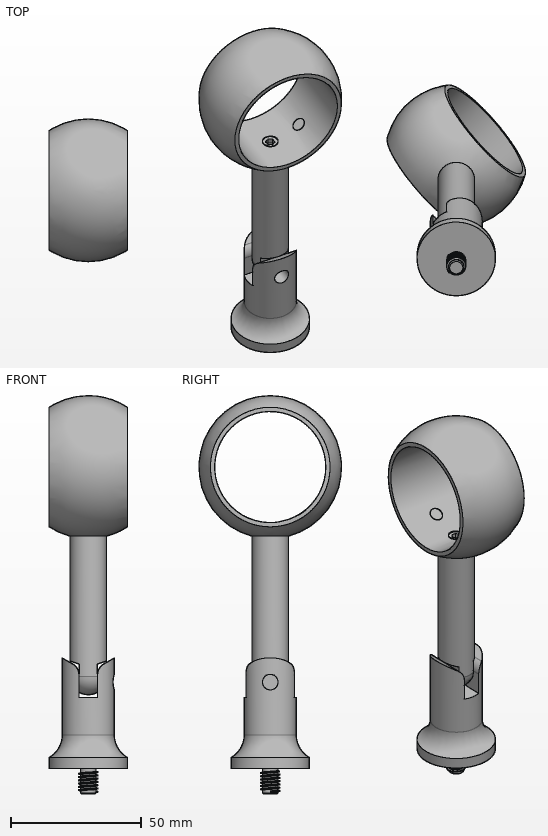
import cadquery as cq
import math

total_height = 152.6
ball_radius = 54.8 / 2
ring_width = 30.0
bore_radius = 42.4 / 2
ball_center_z = total_height - ball_radius
bore_bottom_z = ball_center_z - bore_radius

screw_seat_diameter = 6.0
screw_seat_depth = 0.23
socket_corner_diameter = 3.5
socket_depth = 2.3
plug_diameter = 5.0
plug_seat_depth = 0.2
plug_angle = 35

shaft_radius = 14.0 / 2
tongue_end_center_z = 45.0
tongue_width = 7.0
shoulder_inner_z = 49.7
shoulder_outer_z = 51.0

flange_radius = ring_width / 2
flange_bottom_z = 9.8
flange_top_z = 14.0
neck_top_z = 22.7
collar_radius = 20.0 / 2
collar_top_z = 52.2
slot_bottom_z = 37.1
slot_mouth_slope = 0.58
slot_mouth_fillet = 4.9
hinge_hole_diameter = 6.0
hinge_hole_z = 42.9

thread_radius = 7.3 / 2
root_radius = 6.0 / 2
stud_chamfer = 0.5
thread_pitch = 1.25
thread_start_z = 0.9
thread_end_z = 8.7
thread_root_width = 0.8
thread_crest_width = 0.3
thread_overlap = 0.2

half_slot = tongue_width / 2


def make_base():
    """Flange, concave flare and collar, revolved as one solid."""
    flare_width = flange_radius - collar_radius
    flare_height = neck_top_z - flange_top_z
    flare_radius = (flare_width**2 + flare_height**2) / (2 * flare_width)
    half_sweep = math.asin(flare_height / flare_radius) / 2
    flare_middle = (
        collar_radius + flare_radius * (1 - math.cos(half_sweep)),
        neck_top_z - flare_radius * math.sin(half_sweep),
    )
    body = (
        cq.Workplane("XZ")
        .moveTo(0, flange_bottom_z)
        .lineTo(flange_radius, flange_bottom_z)
        .lineTo(flange_radius, flange_top_z)
        .threePointArc(flare_middle, (collar_radius, neck_top_z))
        .lineTo(collar_radius, collar_top_z)
        .lineTo(0, collar_top_z)
        .close()
        .revolve(360, (0, 0, 0), (0, 1, 0))
    )
    return body.cut(make_slot()).cut(make_hinge_hole())


def make_slot():
    """Slot along Y whose mouth opens out in a V with rounded lower corners."""
    mouth_drop = (collar_radius - half_slot) * slot_mouth_slope
    corner_z = collar_top_z - mouth_drop
    slot = (
        cq.Workplane("XZ")
        .polyline([
            (-half_slot, slot_bottom_z),
            (half_slot, slot_bottom_z),
            (half_slot, corner_z),
            (collar_radius, collar_top_z),
            (-collar_radius, collar_top_z),
            (-half_slot, corner_z),
        ])
        .close()
        .extrude(collar_radius, both=True)
    )
    corner_margin = 0.2
    corner_edges = cq.selectors.BoxSelector(
        (-collar_radius, -collar_radius, corner_z - corner_margin),
        (collar_radius, collar_radius, corner_z + corner_margin),
    )
    return slot.edges("|Y").edges(corner_edges).fillet(slot_mouth_fillet)


def make_hinge_hole():
    """Screw hole through the +X prong of the collar."""
    return (
        cq.Workplane("YZ", origin=(half_slot, 0, hinge_hole_z))
        .circle(hinge_hole_diameter / 2)
        .extrude(collar_radius)
    )


def make_shaft():
    """Round shaft with a domed end, flattened on both sides into a tongue."""
    shaft = (
        cq.Workplane("XY", origin=(0, 0, tongue_end_center_z))
        .circle(shaft_radius)
        .extrude(bore_bottom_z - tongue_end_center_z)
        .union(cq.Workplane("XY", origin=(0, 0, tongue_end_center_z)).sphere(shaft_radius))
    )
    tongue_bottom_z = tongue_end_center_z - shaft_radius
    side_cut = (
        cq.Workplane("XZ")
        .polyline([
            (half_slot, tongue_bottom_z),
            (half_slot, shoulder_inner_z),
            (shaft_radius, shoulder_outer_z),
            (shaft_radius, tongue_bottom_z),
        ])
        .close()
        .extrude(shaft_radius, both=True)
    )
    return shaft.cut(side_cut).cut(side_cut.mirror("YZ"))


def make_ball():
    """Sphere trimmed flat on both X sides."""
    trim = cq.Workplane("XY").box(ring_width, 2 * ball_radius, 2 * ball_radius)
    return cq.Workplane("XY").sphere(ball_radius).intersect(trim).translate((0, 0, ball_center_z))


def make_bore():
    """Through bore along X, with the seats sunk in its wall."""
    bore = (
        cq.Workplane("YZ", origin=(-ring_width / 2, 0, ball_center_z))
        .circle(bore_radius)
        .extrude(ring_width)
    )
    screw_seat = (
        cq.Workplane("XY", origin=(0, 0, ball_center_z))
        .circle(screw_seat_diameter / 2)
        .extrude(-(bore_radius + screw_seat_depth))
    )
    socket = (
        cq.Workplane("XY", origin=(0, 0, ball_center_z))
        .polygon(6, socket_corner_diameter)
        .extrude(-(bore_radius + socket_depth))
    )
    plug_seat = (
        cq.Workplane("XY", origin=(0, 0, ball_center_z))
        .circle(plug_diameter / 2)
        .extrude(-(bore_radius + plug_seat_depth))
        .rotate((0, 0, ball_center_z), (1, 0, ball_center_z), plug_angle)
    )
    return bore.union(screw_seat).union(socket).union(plug_seat)


def make_stud():
    """Chamfered stud carrying a right-hand helical thread."""
    core = (
        cq.Workplane("XY")
        .circle(root_radius)
        .extrude(flange_bottom_z)
        .faces("<Z")
        .chamfer(stud_chamfer)
    )
    helix = cq.Wire.makeHelix(
        thread_pitch, thread_end_z - thread_start_z, root_radius, center=cq.Vector(0, 0, thread_start_z)
    )
    inner_x = root_radius - thread_overlap
    thread = (
        cq.Workplane("XZ")
        .polyline([
            (inner_x, thread_start_z - thread_root_width / 2),
            (thread_radius, thread_start_z - thread_crest_width / 2),
            (thread_radius, thread_start_z + thread_crest_width / 2),
            (inner_x, thread_start_z + thread_root_width / 2),
        ])
        .close()
        .sweep(cq.Workplane(obj=helix), isFrenet=True)
    )
    return core.union(thread)


result = make_base().union(make_shaft()).union(make_ball()).cut(make_bore()).union(make_stud())